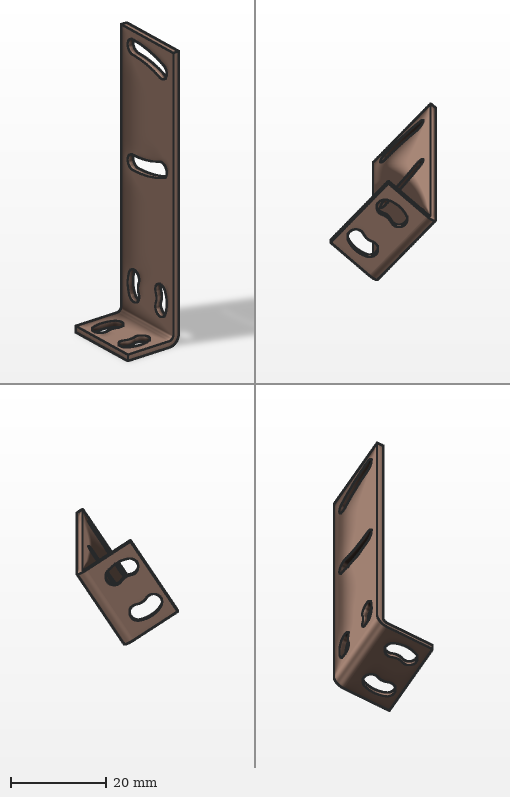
import cadquery as cq
import math

width = 18.0
height = 68.0
foot_length = 13.5
thickness = 1.5
inner_bend_radius = 1.0
outer_bend_radius = inner_bend_radius + thickness

slot_width = 3.55
slot_radius = slot_width / 2

swing_start_x = -4.95
swing_end_x = 4.95
upper_swing_z = 64.2
swing_radius = 26.7
lower_swing_z = upper_swing_z - swing_radius
swing_angle = math.degrees(math.asin((swing_end_x - swing_start_x) / swing_radius))

pair_radius = 4.95
pair_half_angle = 23.5
wall_pair_z = 9.0
foot_pair_y = -8.4


def bent_sheet():
    """L-shaped sheet with concentric inner and outer bend radii."""
    outer = cq.Workplane("XY").box(width, foot_length, height, centered=(True, False, False))
    outer = outer.translate((0, -foot_length, 0))
    outer = outer.edges("|X and >Y and <Z").fillet(outer_bend_radius)
    inner = cq.Workplane("XY").box(width, foot_length, height, centered=(True, False, False))
    inner = inner.translate((0, -foot_length - thickness, thickness))
    inner = inner.edges("|X and >Y and <Z").fillet(inner_bend_radius)
    return outer.cut(inner)


def arc_slot(plane, centre, radius, start_angle, end_angle):
    """Cutter for a round-ended slot along an arc, reaching through one leg."""

    def point(distance, angle):
        turn = math.radians(angle)
        return (centre[0] + distance * math.cos(turn), centre[1] + distance * math.sin(turn))

    middle_angle = (start_angle + end_angle) / 2
    inner = radius - slot_radius
    outer = radius + slot_radius
    band = (
        cq.Workplane(plane)
        .moveTo(*point(inner, start_angle))
        .threePointArc(point(inner, middle_angle), point(inner, end_angle))
        .lineTo(*point(outer, end_angle))
        .threePointArc(point(outer, middle_angle), point(outer, start_angle))
        .close()
        .extrude(thickness)
    )
    end_centres = [point(radius, start_angle), point(radius, end_angle)]
    ends = cq.Workplane(plane).pushPoints(end_centres).circle(slot_radius).extrude(thickness)
    return band.union(ends)


result = bent_sheet()

upper_pivot = (swing_start_x, lower_swing_z)
lower_pivot = (swing_start_x, upper_swing_z)
result = result.cut(arc_slot("XZ", upper_pivot, swing_radius, 90 - swing_angle, 90))
result = result.cut(arc_slot("XZ", lower_pivot, swing_radius, 270, 270 + swing_angle))

for plane, centre in (("XZ", (0, wall_pair_z)), ("XY", (0, foot_pair_y))):
    for direction in (0, 180):
        first_angle = direction - pair_half_angle
        last_angle = direction + pair_half_angle
        result = result.cut(arc_slot(plane, centre, pair_radius, first_angle, last_angle))